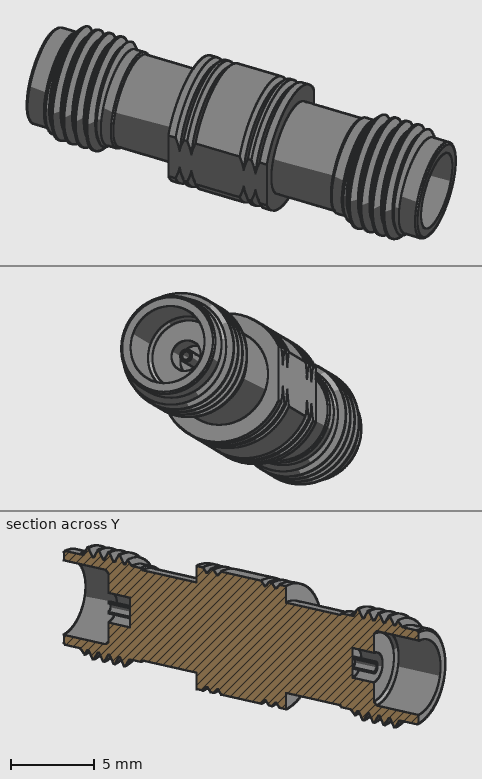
import cadquery as cq
import math

total_length = 25.4
half_length = total_length / 2
body_diameter = 5.77

grip_diameter = 7.85
grip_length = 6.4
flat_to_flat = 7.1
groove_depth = 0.3
groove_width = 0.53
outer_groove_offset = 0.74
groove_spacing = 0.75

head_diameter = 6.0
head_length = 5.65
head_chamfer = (head_diameter - body_diameter) / 2

thread_diameter = 7.0
four_turn_advance = 3.0
thread_pitch = four_turn_advance / 4
thread_start = 1.17
thread_end = 4.88
thread_crest_width = 0.1
thread_flank_angle = 30.0
thread_root_overlap = 0.05
helix_start = 0.6
helix_turns = 6.5
envelope_margin = 0.25

bore_diameter = 4.7
bore_depth = 3.0
bore_floor_diameter = 4.3
bore_cone_length = 0.2
air_ring_diameter = 1.85
air_ring_depth = 1.52
contact_diameter = 0.75
contact_hole_diameter = 0.5
contact_hole_depth = 1.52


def cylinder(diameter, start, length):
    """Cylinder along +X that begins at x = start."""
    return cq.Workplane("YZ", origin=(start, 0, 0)).circle(diameter / 2).extrude(length)


def revolve_about_x(points):
    """Solid of revolution from (x, radius) points."""
    return cq.Workplane("XY").polyline(points).close().revolve(360, (0, 0, 0), (1, 0, 0))


def make_grip():
    grip = cylinder(grip_diameter, -grip_length / 2, grip_length)
    grip = grip.intersect(cq.Workplane("XY").box(grip_length, flat_to_flat, grip_diameter))
    rim = grip_diameter / 2
    for offset in (outer_groove_offset, outer_groove_offset + groove_spacing):
        for side in (-1, 1):
            x = side * (grip_length / 2 - offset)
            grip = grip.cut(
                revolve_about_x(
                    [
                        (x, rim - groove_depth),
                        (x + groove_width, rim + groove_depth),
                        (x - groove_width, rim + groove_depth),
                    ]
                )
            )
    return grip


def make_thread():
    """Right-handed ridge along +X, counted from the end face, with 45 degree tapered ends."""
    crest = thread_diameter / 2
    root = head_diameter / 2 - thread_root_overlap
    half_crest = thread_crest_width / 2
    half_base = half_crest + (crest - root) * math.tan(math.radians(thread_flank_angle))

    corners = [(root, -half_base), (crest, -half_crest), (crest, half_crest), (root, half_base)]
    helices = [
        cq.Wire.makeHelix(thread_pitch, helix_turns * thread_pitch, radius, center=cq.Vector(0, 0, shift))
        for radius, shift in corners
    ]
    faces = [
        cq.Face.makeRuledSurface(helix, following)
        for helix, following in zip(helices, helices[1:] + helices[:1])
    ]
    for end_points in (
        [helix.startPoint() for helix in helices],
        [helix.endPoint() for helix in helices],
    ):
        faces.append(cq.Face.makeFromWires(cq.Wire.makePolygon(end_points, close=True)))
    ridge = cq.Workplane(cq.Solid.makeSolid(cq.Shell.makeShell(faces)))
    ridge = ridge.rotate((0, 0, 0), (0, 1, 0), 90).translate((helix_start, 0, 0))

    inner = head_diameter / 2 - envelope_margin
    outer = crest + envelope_margin
    rise = outer - head_diameter / 2
    envelope = revolve_about_x(
        [
            (thread_start - envelope_margin, 0),
            (thread_start - envelope_margin, inner),
            (thread_start + rise, outer),
            (thread_end - rise, outer),
            (thread_end + envelope_margin, inner),
            (thread_end + envelope_margin, 0),
        ]
    )
    return ridge.intersect(envelope)


def make_socket():
    """Space to remove at the left end: bore with a coned floor, air ring and contact hole."""
    cone_end = bore_depth + bore_cone_length
    bore = revolve_about_x(
        [
            (0, 0),
            (0, bore_diameter / 2),
            (bore_depth, bore_diameter / 2),
            (cone_end, bore_floor_diameter / 2),
            (cone_end, 0),
        ]
    )
    air_ring = cylinder(air_ring_diameter, cone_end, air_ring_depth).cut(
        cylinder(contact_diameter, cone_end, air_ring_depth)
    )
    contact_hole = cylinder(contact_hole_diameter, cone_end, contact_hole_depth)
    return bore.union(air_ring).union(contact_hole)


def make_head():
    """Left head, with its end face at x = 0."""
    head = cylinder(head_diameter, 0, head_length).edges("%CIRCLE").chamfer(head_chamfer)
    return head.union(make_thread())


head = make_head().translate((-half_length, 0, 0))
socket = make_socket().translate((-half_length, 0, 0))

body_length = total_length - head_length
result = cylinder(body_diameter, -body_length / 2, body_length).union(make_grip())
for turn in (0, 180):
    result = result.union(head.rotate((0, 0, 0), (0, 1, 0), turn))
    result = result.cut(socket.rotate((0, 0, 0), (0, 1, 0), turn))